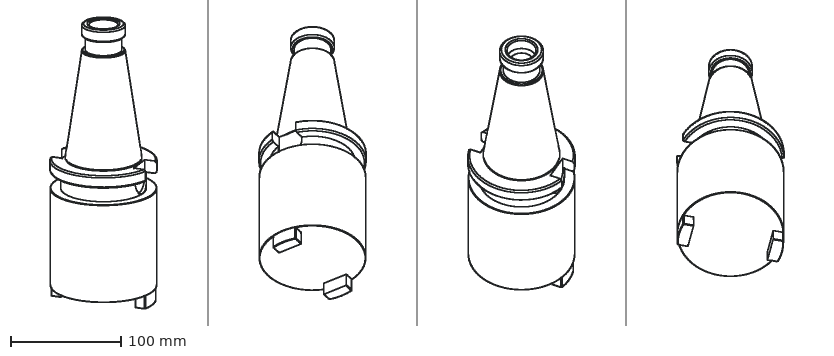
import cadquery as cq
import math

total_height = 264.3
key_height = 12.7
body_top = 106.5
flange_bottom = 122.5
flange_top = 134.3
taper_bottom = 135.3
gauge_height = 136.6
taper_top = 239.2
collar_bottom = 252.5

body_radius = 97.0 / 2
flange_radius = 97.5 / 2
throat_radius = 39.0
relief_radius = 34.0
gauge_radius = 35.0
taper_slope = 7 / 24 / 2
neck_radius = 16.7
collar_radius = 19.8

body_chamfer = 0.5
flange_chamfer = 1.5
taper_chamfer = 1.0
collar_chamfer = 1.5
key_foot_chamfer = 0.5
key_corner_chamfer = 0.8

slot_width = 25.6
slot_floor = 35.5

key_width = 24.8
key_inner = 37.0
key_recess = 0.3

mouth_radius = 14.8
bore_radius = 13.2
thread_radius = 10.3
drill_radius = 9.3
hole_floor_radius = 7.1
bore_depth = 10.5
thread_depth = 42.3
drill_depth = 52.9
bore_cone_slope = 1.0
cone_slope = math.tan(math.radians(60))


def revolve(points):
    """Revolve a closed (radius, height) outline about the Z axis."""
    return cq.Workplane("XZ").polyline(points).close().revolve(360, (0, 0, 0), (0, 1, 0))


def make_shank():
    taper_end_radius = gauge_radius - taper_slope * (taper_top - gauge_height)
    return revolve([
        (0, key_height),
        (body_radius - body_chamfer, key_height),
        (body_radius, key_height + body_chamfer),
        (body_radius, body_top - body_chamfer),
        (body_radius - body_chamfer, body_top),
        (throat_radius, body_top),
        (throat_radius, flange_bottom),
        (flange_radius - flange_chamfer, flange_bottom),
        (flange_radius, flange_bottom + flange_chamfer),
        (flange_radius, flange_top - flange_chamfer),
        (flange_radius - flange_chamfer, flange_top),
        (relief_radius, flange_top),
        (relief_radius, taper_bottom),
        (gauge_radius, taper_bottom),
        (gauge_radius, gauge_height),
        (taper_end_radius, taper_top - taper_chamfer),
        (taper_end_radius - taper_chamfer, taper_top),
        (neck_radius, taper_top),
        (neck_radius, collar_bottom),
        (collar_radius - collar_chamfer, collar_bottom),
        (collar_radius, collar_bottom + collar_chamfer),
        (collar_radius, total_height - collar_chamfer),
        (collar_radius - collar_chamfer, total_height),
        (0, total_height),
    ])


def make_drawbar_hole():
    mouth_depth = (mouth_radius - bore_radius) / cone_slope
    bore_cone = (bore_radius - thread_radius) * bore_cone_slope
    thread_cone = (thread_radius - drill_radius) * cone_slope
    floor_cone = (drill_radius - hole_floor_radius) * cone_slope
    steps = [
        (0, 0),
        (mouth_radius, 0),
        (bore_radius, mouth_depth),
        (bore_radius, bore_depth),
        (thread_radius, bore_depth + bore_cone),
        (thread_radius, thread_depth),
        (drill_radius, thread_depth + thread_cone),
        (drill_radius, drill_depth),
        (hole_floor_radius, drill_depth + floor_cone),
        (0, drill_depth + floor_cone),
    ]
    return revolve([(radius, total_height - depth) for radius, depth in steps])


def make_slot(side):
    """Round-bottomed slot through the flange; side is +1 or -1 along X."""
    slot_radius = slot_width / 2
    arc_height = body_top + slot_radius
    return (
        cq.Workplane("YZ", origin=(side * slot_floor, 0, 0))
        .moveTo(-slot_radius, flange_top)
        .lineTo(-slot_radius, arc_height)
        .threePointArc((0, body_top), (slot_radius, arc_height))
        .lineTo(slot_radius, flange_top)
        .close()
        .extrude(side * flange_radius)
    )


def make_keys():
    """Two keys cut from one disc, so their outer faces follow the body."""
    outer_radius = body_radius - key_recess
    span = 2 * body_radius
    disc = (
        cq.Workplane("XY")
        .circle(outer_radius)
        .extrude(key_height + body_chamfer)
        .rotate((0, 0, 0), (0, 0, 1), 90)
    )
    bar = cq.Workplane("XY").box(span, key_width, span)
    gap = cq.Workplane("XY").box(2 * key_inner, span, span)
    key_bar = (
        disc.intersect(bar)
        .edges("|Z")
        .chamfer(key_corner_chamfer)
        .faces("<Z")
        .chamfer(key_foot_chamfer)
    )
    return key_bar.cut(gap)


result = make_shank().cut(make_drawbar_hole())
for side in (-1, 1):
    result = result.cut(make_slot(side))
result = result.union(make_keys())